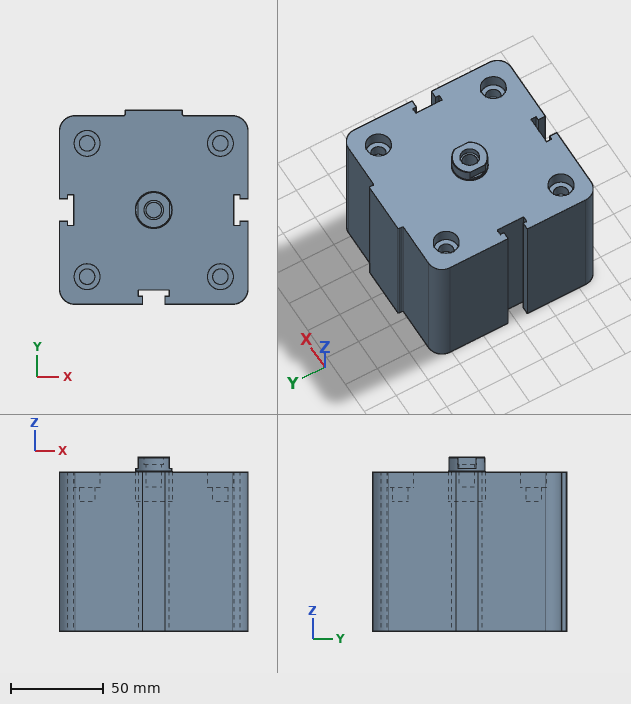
import cadquery as cq

housing_width = 102.0
housing_height = 86.0
corner_radius = 8.5
half_width = housing_width / 2

rib_width = 31.0
rib_height = 3.0
rib_round = 0.7

slot_mouth_width = 12.0
slot_channel_width = 16.5
slot_lip_depth = 4.5
slot_depth = 7.7
slot_angles = (0, 180, 270)

mount_spacing = 72.0
mount_hole_diameter = 8.38
mount_hole_depth = 16.0
mount_counterbore_diameter = 14.0
mount_counterbore_depth = 8.4

rod_diameter = 20.0
rod_seat_depth = 16.0
rod_shoulder_height = 0.6
rod_head_diameter = 19.5
rod_shoulder_chamfer = (rod_diameter - rod_head_diameter) / 2
rod_projection = 8.0
rod_head_chamfer = 0.3
rod_top = housing_height + rod_projection

flat_spacing = 17.0
flat_length = 6.0

rod_hole_diameter = 8.38
rod_hole_depth = 16.0
rod_entry_diameter = 10.5
rod_entry_depth = 4.0


def make_rib():
    """Rib on the +Y side, rounded along its crest and at its foot."""
    half_rib = rib_width / 2
    crest = half_width + rib_height
    arc_offset = rib_round * (1 - 0.5 ** 0.5)
    return (
        cq.Workplane("XY")
        .moveTo(-half_rib - rib_round, half_width - rib_round)
        .lineTo(half_rib + rib_round, half_width - rib_round)
        .lineTo(half_rib + rib_round, half_width)
        .threePointArc(
            (half_rib + arc_offset, half_width + arc_offset),
            (half_rib, half_width + rib_round),
        )
        .lineTo(half_rib, crest - rib_round)
        .threePointArc(
            (half_rib - arc_offset, crest - arc_offset),
            (half_rib - rib_round, crest),
        )
        .lineTo(-half_rib + rib_round, crest)
        .threePointArc(
            (-half_rib + arc_offset, crest - arc_offset),
            (-half_rib, crest - rib_round),
        )
        .lineTo(-half_rib, half_width + rib_round)
        .threePointArc(
            (-half_rib - arc_offset, half_width + arc_offset),
            (-half_rib - rib_round, half_width),
        )
        .close()
        .extrude(housing_height)
    )


def make_slot(angle):
    """Full-height T-slot cutter, opening on +X and then turned about Z."""
    channel_depth = slot_depth - slot_lip_depth
    mouth = (
        cq.Workplane("XY")
        .center(half_width - slot_depth / 2, 0)
        .rect(slot_depth, slot_mouth_width)
        .extrude(housing_height)
    )
    channel = (
        cq.Workplane("XY")
        .center(half_width - slot_lip_depth - channel_depth / 2, 0)
        .rect(channel_depth, slot_channel_width)
        .extrude(housing_height)
    )
    return mouth.union(channel).rotate((0, 0, 0), (0, 0, 1), angle)


def make_housing():
    """Rounded block with rib, T-slots, mounting holes and the rod seat."""
    body = (
        cq.Workplane("XY")
        .rect(housing_width, housing_width)
        .extrude(housing_height)
        .edges("|Z")
        .fillet(corner_radius)
        .union(make_rib())
    )
    for angle in slot_angles:
        body = body.cut(make_slot(angle))

    top_plane = cq.Workplane("XY", origin=(0, 0, housing_height))
    mount_points = top_plane.rect(mount_spacing, mount_spacing, forConstruction=True).vertices()
    holes = mount_points.circle(mount_hole_diameter / 2).extrude(-mount_hole_depth)
    counterbores = mount_points.circle(mount_counterbore_diameter / 2).extrude(-mount_counterbore_depth)
    rod_seat = top_plane.circle(rod_diameter / 2).extrude(-rod_seat_depth)
    return body.cut(holes).cut(counterbores).cut(rod_seat)


def make_rod():
    """Piston rod with a reduced head, two wrench flats and a stepped end hole."""
    shank = (
        cq.Workplane("XY", origin=(0, 0, housing_height - rod_seat_depth))
        .circle(rod_diameter / 2)
        .extrude(rod_seat_depth + rod_shoulder_height)
        .faces(">Z")
        .chamfer(rod_shoulder_chamfer)
    )
    head = (
        cq.Workplane("XY", origin=(0, 0, housing_height + rod_shoulder_height))
        .circle(rod_head_diameter / 2)
        .extrude(rod_projection - rod_shoulder_height)
        .faces(">Z")
        .chamfer(rod_head_chamfer)
    )

    top_plane = cq.Workplane("XY", origin=(0, 0, rod_top))
    flat_cutter = (
        top_plane
        .rect(2 * rod_diameter, 2 * rod_diameter)
        .rect(flat_spacing, 2 * rod_diameter)
        .extrude(-flat_length)
    )
    hole = top_plane.circle(rod_hole_diameter / 2).extrude(-rod_hole_depth)
    entry = top_plane.circle(rod_entry_diameter / 2).extrude(-rod_entry_depth)
    return shank.union(head).cut(flat_cutter).cut(hole).cut(entry)


housing = make_housing()
rod = make_rod()

result = cq.Compound.makeCompound([housing.val(), rod.val()])